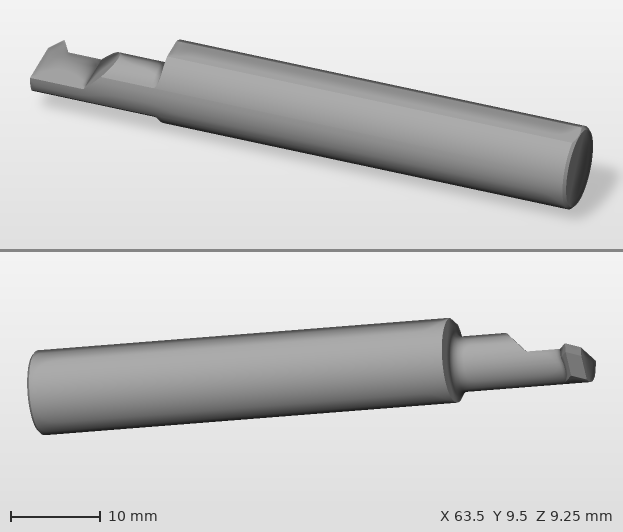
import cadquery as cq
import math

total_length = 63.5
shank_radius = 4.75
flat_height = 4.5
end_chamfer = 0.3
shoulder_x = 15.1

neck_radius = 3.1
neck_y = -1.9
neck_fillet = 0.65

ramp_start_x = 6.35
ramp_angle = 45.0

tooth_x = 1.2
tooth_y = 3.3
tooth_half_angle = 30.0
flank_slope = 1 / math.tan(math.radians(tooth_half_angle))
relief_depth = 0.95
upper_relief = 0.25
lower_relief_angle = 45.0


def make_round_bar():
    """Full-length bar at the shank diameter, chamfered at its far end."""
    bar = cq.Workplane("YZ").circle(shank_radius).extrude(total_length)
    return bar.faces(">X").chamfer(end_chamfer)


def make_shank(bar):
    """Part of the bar behind the shoulder, with the top flat."""
    size = 2 * shank_radius
    envelope = cq.Workplane("XY").box(
        total_length - shoulder_x, size, shank_radius + flat_height, centered=(False, True, False)
    )
    return bar.intersect(envelope.translate((shoulder_x, 0, -shank_radius)))


def make_neck(bar):
    """Neck with a concave fillet at the shoulder, trimmed to the bar."""
    fillet_start_x = shoulder_x - neck_fillet
    fillet_mid = neck_fillet * math.sqrt(0.5)
    neck = (
        cq.Workplane("XY")
        .moveTo(0, 0)
        .lineTo(0, neck_radius)
        .lineTo(fillet_start_x, neck_radius)
        .threePointArc(
            (fillet_start_x + fillet_mid, neck_radius + neck_fillet - fillet_mid),
            (shoulder_x, neck_radius + neck_fillet),
        )
        .lineTo(shoulder_x, 0)
        .close()
        .revolve(360, (0, 0), (1, 0))
        .translate((0, neck_y, 0))
    )
    return neck.intersect(bar)


def make_ramp_cutter():
    """Space above the mid-plane in front of the sloping ramp."""
    ramp_top_x = ramp_start_x + shank_radius / math.tan(math.radians(ramp_angle))
    return (
        cq.Workplane("XZ")
        .polyline([(0, 0), (ramp_start_x, 0), (ramp_top_x, shank_radius), (0, shank_radius)])
        .close()
        .extrude(shank_radius, both=True)
    )


def loft_relief(outline_at):
    """Solid below the cutting edge leaning back in two relief steps.

    outline_at(point_y) gives the XY outline for a tooth point lying at point_y.
    """
    lower_depth = neck_radius - relief_depth
    lower_relief = lower_depth * math.tan(math.radians(lower_relief_angle))
    levels = [
        (0, 0),
        (-relief_depth, upper_relief),
        (-neck_radius, upper_relief + lower_relief),
    ]
    top, middle, bottom = [
        cq.Wire.makePolygon([cq.Vector(x, y, z) for x, y in outline_at(tooth_y - set_back)], close=True)
        for z, set_back in levels
    ]
    upper = cq.Solid.makeLoft([top, middle], True)
    lower = cq.Solid.makeLoft([middle, bottom], True)
    return cq.Workplane(upper).union(cq.Workplane(lower))


def tooth_outline(point_y):
    """Tooth with its rear flank running down to the neck axis."""
    return [
        (0, neck_y),
        (0, point_y - tooth_x * flank_slope),
        (tooth_x, point_y),
        (tooth_x + (point_y - neck_y) / flank_slope, neck_y),
    ]


def front_clearance_outline(point_y):
    """Corner cleared in front of the tooth's leading flank."""
    return [
        (0, point_y - tooth_x * flank_slope),
        (tooth_x, point_y),
        (0, point_y + tooth_x * flank_slope),
    ]


round_bar = make_round_bar()
cutting_end = make_neck(round_bar).cut(make_ramp_cutter())
cutting_end = cutting_end.union(loft_relief(tooth_outline)).cut(loft_relief(front_clearance_outline))
result = make_shank(round_bar).union(cutting_end)